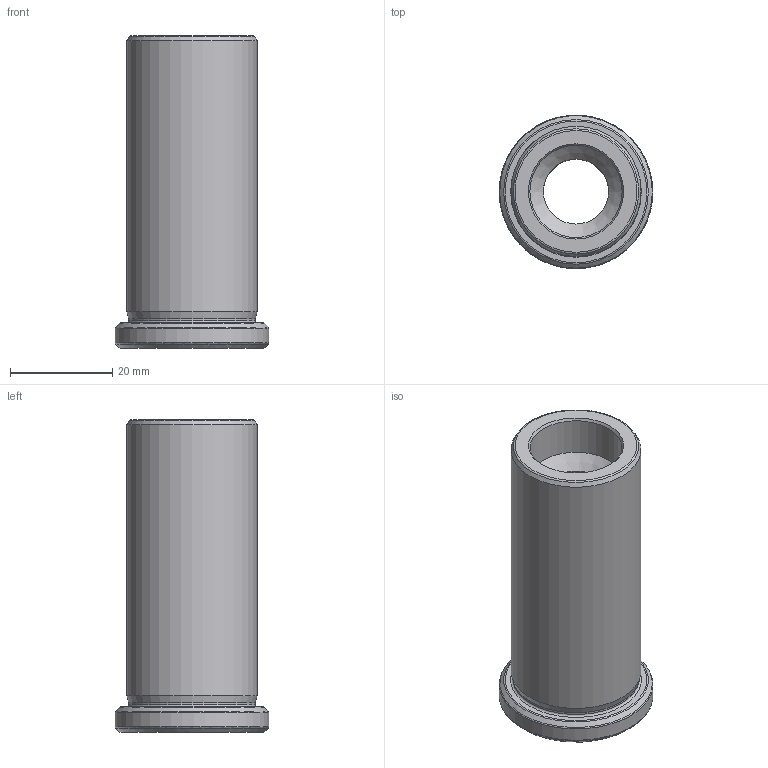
import math

import cadquery as cq

total_height = 61.0
flange_diameter = 30.0
flange_height = 5.0
body_diameter = 25.4
neck_diameter = 24.7

top_chamfer = 1.0
bottom_chamfer = 0.95
edge_rounding = 0.4

lead_in_height = 1.0
lead_in_angle = 30.0

undercut_width = 2.1
undercut_angle = 15.0
undercut_fillet = 0.4

large_bore_diameter = 18.0
small_bore_diameter = 12.7
large_bore_depth = 8.0
seat_angle = 45.0
bore_mouth_height = 0.5
bore_mouth_angle = 30.0

edge_tolerance = 0.01


def revolve_profile(points):
    """Turn a closed (radius, height) outline about the Z axis."""
    return cq.Workplane("XZ").polyline(points).close().revolve(360, (0, 0, 0), (0, 1, 0))


def cone_width(height, angle):
    """Radial change of a cone of the given height and angle from the axis."""
    return height * math.tan(math.radians(angle))


def cone_height(width, angle):
    """Height of a cone of the given radial change and angle from the axis."""
    return width / math.tan(math.radians(angle))


def round_edge(solid, radius, height, rounding):
    """Fillet the circular edge of the given radius and height."""
    lower_corner = (-radius - edge_tolerance, -radius - edge_tolerance, height - edge_tolerance)
    upper_corner = (radius + edge_tolerance, radius + edge_tolerance, height + edge_tolerance)
    flat_box = cq.selectors.BoxSelector(lower_corner, upper_corner, boundingbox=True)
    largest_circle = cq.selectors.RadiusNthSelector(-1)
    return solid.edges(flat_box).edges(largest_circle).fillet(rounding)


def make_outside():
    """Solid flange, undercut neck and body, without the bore."""
    flange_radius = flange_diameter / 2
    body_radius = body_diameter / 2
    neck_radius = neck_diameter / 2
    rim_radius = flange_radius - top_chamfer
    lead_in_radius = body_radius - cone_width(lead_in_height, lead_in_angle)
    undercut_top = flange_height + undercut_width
    cone_length = cone_height(body_radius - neck_radius, undercut_angle)

    solid = revolve_profile(
        [
            (0, 0),
            (flange_radius - bottom_chamfer, 0),
            (flange_radius, bottom_chamfer),
            (flange_radius, flange_height - top_chamfer),
            (rim_radius, flange_height),
            (neck_radius, flange_height),
            (neck_radius, undercut_top - cone_length),
            (body_radius, undercut_top),
            (body_radius, total_height - lead_in_height),
            (lead_in_radius, total_height),
            (0, total_height),
        ]
    )

    rounded_edges = [
        (flange_radius, bottom_chamfer),
        (flange_radius, flange_height - top_chamfer),
        (rim_radius, flange_height),
        (lead_in_radius, total_height),
    ]
    for radius, height in rounded_edges:
        solid = round_edge(solid, radius, height, edge_rounding)
    return round_edge(solid, neck_radius, flange_height, undercut_fillet)


def make_bore():
    """Through hole widening over a conical seat to the large bore at the top."""
    large_radius = large_bore_diameter / 2
    small_radius = small_bore_diameter / 2
    seat_top = total_height - large_bore_depth
    seat_height = cone_height(large_radius - small_radius, seat_angle)
    mouth_radius = large_radius + cone_width(bore_mouth_height, bore_mouth_angle)
    return revolve_profile(
        [
            (0, 0),
            (small_radius, 0),
            (small_radius, seat_top - seat_height),
            (large_radius, seat_top),
            (large_radius, total_height - bore_mouth_height),
            (mouth_radius, total_height),
            (0, total_height),
        ]
    )


result = make_outside().cut(make_bore())